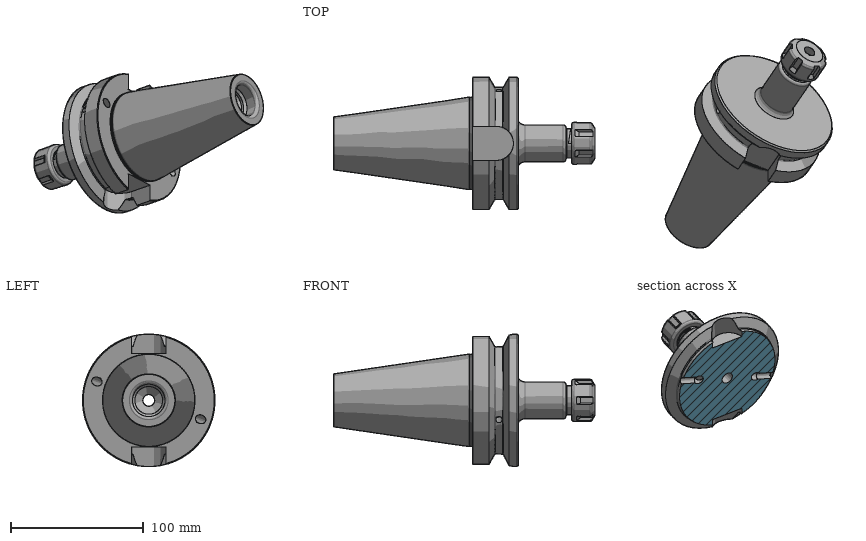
import cadquery as cq
import math


total_length = 197.4

taper_large_radius = 35.0
taper_length = 101.8
taper_ratio = 7 / 24
taper_small_radius = taper_large_radius - taper_length * taper_ratio / 2
taper_edge_chamfer = 0.4
collar_recess_depth = 0.2
collar_recess_start = 102.8
collar_recess_end = 103.8

flange_rear = 104.8
flange_front = 139.7
flange_radius = 50.04
flange_chamfer = 0.5
flange_front_chamfer = 1.2
groove_center = 125.0
groove_floor_width = 6.3
groove_floor_radius = 42.5
groove_wall_angle = 30.0
groove_fillet = 1.0
groove_floor_rear = groove_center - groove_floor_width / 2
groove_floor_front = groove_center + groove_floor_width / 2
groove_flare = (flange_radius - groove_floor_radius) * math.tan(math.radians(groove_wall_angle))

slot_width = 25.7
slot_tip = 135.8
slot_floor_height = 35.3

shank_radius = 14.0
shank_front = 175.5
shank_edge_fillet = 2.2
shank_root_length = 4.7
shank_root_radius = 16.5
neck_radius = 11.0
neck_fillet = 0.8
nose_front = 191.5

runout_depth = 1.2
runout_start = 177.2
runout_lead = 1.8

mouth_radius = 14.6
counterbore_radius = 12.2
counterbore_depth = 10.0
inner_bore_radius = 10.5
inner_bore_depth = 13.8
bore_cone_angle = 59.0
through_radius = 4.3
bore_cone_length = (inner_bore_radius - through_radius) / math.tan(math.radians(bore_cone_angle))
mouth_flare = mouth_radius - counterbore_radius
bore_step = counterbore_radius - inner_bore_radius

port_turn = 20.0
port_circle_radius = 41.6
port_slant = 36.0
port_radius = 3.25
cross_hole_radius = 2.47
port_run = groove_center - flange_rear
cross_hole_bottom = port_circle_radius - port_run * math.tan(math.radians(port_slant))
port_overrun = 6.0
port_length = port_run / math.cos(math.radians(port_slant)) + port_overrun

nut_rear = 179.6
nut_radius = 16.0
nut_rear_fillet = 2.0
nut_front_fillet = 2.07
nut_cone_start = 195.2
nut_cone_angle = 60.0
nut_slot_count = 6
nut_slot_floor = 13.72
nut_slot_floor_width = 4.1
nut_slot_top_width = 6.3
nut_slot_rear = 183.4
nut_slot_ramp_end = 186.3
long_slot_extra = 1.2
long_slot_turns = (240, 300)

clearance = 2.0


def turned(outline):
    """Revolve a closed X-Z outline about the X axis."""
    return outline.close().revolve(360, (0, 0, 0), (1, 0, 0))


def make_holder_blank():
    recess_radius = taper_large_radius - collar_recess_depth
    fillet_mid = shank_edge_fillet * math.sqrt(0.5)
    wall_turn = math.radians(90 - groove_wall_angle)
    fillet_reach = groove_fillet * math.tan(wall_turn / 2)
    fillet_wall_run = fillet_reach * math.cos(wall_turn)
    fillet_wall_rise = fillet_reach * math.sin(wall_turn)
    root_rise = shank_root_radius - shank_radius
    root_arc_radius = (shank_root_length**2 + root_rise**2) / (2 * root_rise)
    outline = (
        cq.Workplane("XZ")
        .moveTo(0, 0)
        .lineTo(0, taper_small_radius - taper_edge_chamfer)
        .lineTo(taper_edge_chamfer, taper_small_radius)
        .lineTo(taper_length, taper_large_radius)
        .lineTo(collar_recess_start, taper_large_radius)
        .lineTo(collar_recess_start, recess_radius)
        .lineTo(collar_recess_end, recess_radius)
        .lineTo(collar_recess_end, taper_large_radius)
        .lineTo(flange_rear, taper_large_radius)
        .lineTo(flange_rear, flange_radius - flange_chamfer)
        .lineTo(flange_rear + flange_chamfer, flange_radius)
        .lineTo(groove_floor_rear - groove_flare, flange_radius)
        .lineTo(groove_floor_rear - fillet_wall_run, groove_floor_radius + fillet_wall_rise)
        .radiusArc((groove_floor_rear + fillet_reach, groove_floor_radius), -groove_fillet)
        .lineTo(groove_floor_front - fillet_reach, groove_floor_radius)
        .radiusArc(
            (groove_floor_front + fillet_wall_run, groove_floor_radius + fillet_wall_rise),
            -groove_fillet,
        )
        .lineTo(groove_floor_front + groove_flare, flange_radius)
        .lineTo(flange_front - flange_front_chamfer, flange_radius)
        .lineTo(flange_front, flange_radius - flange_front_chamfer)
        .lineTo(flange_front, shank_root_radius)
        .radiusArc((flange_front + shank_root_length, shank_radius), -root_arc_radius)
        .lineTo(shank_front - shank_edge_fillet, shank_radius)
        .threePointArc(
            (
                shank_front - shank_edge_fillet + fillet_mid,
                shank_radius - shank_edge_fillet + fillet_mid,
            ),
            (shank_front, shank_radius - shank_edge_fillet),
        )
        .lineTo(shank_front + neck_fillet, neck_radius)
        .lineTo(nose_front, neck_radius)
        .lineTo(nose_front, 0)
    )
    return turned(outline)


def make_bore():
    tip_end = inner_bore_depth + bore_cone_length
    outline = (
        cq.Workplane("XZ")
        .moveTo(0, 0)
        .lineTo(0, mouth_radius)
        .radiusArc((mouth_flare, counterbore_radius), -mouth_flare)
        .lineTo(counterbore_depth, counterbore_radius)
        .lineTo(counterbore_depth + bore_step, inner_bore_radius)
        .lineTo(inner_bore_depth, inner_bore_radius)
        .lineTo(tip_end, through_radius)
        .lineTo(nose_front, through_radius)
        .lineTo(nose_front, 0)
    )
    return turned(outline)


def make_driving_slot():
    """Round-ended slot cutter for the +Z side."""
    slot_center = slot_tip - slot_width / 2
    return (
        cq.Workplane("XY", origin=(0, 0, slot_floor_height))
        .moveTo(flange_rear, -slot_width / 2)
        .lineTo(slot_center, -slot_width / 2)
        .threePointArc((slot_tip, 0), (slot_center, slot_width / 2))
        .lineTo(flange_rear, slot_width / 2)
        .close()
        .extrude(flange_radius - slot_floor_height + clearance)
    )


def make_coolant_port():
    """Slanted port and its radial cross hole, cut on the +Y side before turning into place."""
    slant = math.radians(port_slant)
    inward = cq.Vector(math.cos(slant), -math.sin(slant), 0)
    mouth = cq.Vector(flange_rear, port_circle_radius, 0)
    lead_in = 2 * port_radius
    port = cq.Solid.makeCylinder(port_radius, port_length + lead_in, mouth - inward * lead_in, inward)
    cross_hole = cq.Solid.makeCylinder(
        cross_hole_radius,
        groove_floor_radius + clearance - cross_hole_bottom,
        cq.Vector(groove_center, cross_hole_bottom, 0),
        cq.Vector(0, 1, 0),
    )
    return cq.Workplane(port).union(cq.Workplane(cross_hole))


def make_thread_runout():
    """Quarter-turn relief, between +Z and +Y, that leads toward the nut."""
    ring = (
        cq.Workplane("YZ", origin=(runout_start, 0, 0))
        .circle(neck_radius + clearance)
        .circle(neck_radius - runout_depth)
        .extrude(nut_rear - runout_start)
    )
    quarter = (
        cq.Workplane("XY")
        .moveTo(runout_start, 0)
        .lineTo(runout_start + runout_lead, neck_radius)
        .lineTo(nut_rear, neck_radius + clearance)
        .lineTo(nut_rear, 0)
        .close()
        .extrude(neck_radius + clearance)
    )
    return ring.intersect(quarter)


def make_holder():
    holder = make_holder_blank().cut(make_bore())
    slot = make_driving_slot()
    port = make_coolant_port()
    for side_turn in (0, 180):
        holder = holder.cut(slot.rotate((0, 0, 0), (1, 0, 0), side_turn))
        holder = holder.cut(port.rotate((0, 0, 0), (1, 0, 0), port_turn + side_turn))
    return holder.cut(make_thread_runout())


def make_nut_blank():
    cone_turn = math.radians(nut_cone_angle)
    cone_start_radius = nut_radius - nut_front_fillet * (1 - math.cos(cone_turn))
    front_fillet_start = nut_cone_start - nut_front_fillet * math.sin(cone_turn)
    front_radius = cone_start_radius - (total_length - nut_cone_start) * math.tan(cone_turn)
    outline = (
        cq.Workplane("XZ")
        .moveTo(nut_rear, neck_radius)
        .lineTo(nut_rear, nut_radius - nut_rear_fillet)
        .radiusArc((nut_rear + nut_rear_fillet, nut_radius), nut_rear_fillet)
        .lineTo(front_fillet_start, nut_radius)
        .radiusArc((nut_cone_start, cone_start_radius), nut_front_fillet)
        .lineTo(total_length, front_radius)
        .lineTo(total_length, through_radius)
        .lineTo(nose_front, through_radius)
        .lineTo(nose_front, neck_radius)
    )
    return turned(outline)


def make_nut_slot():
    """Wrench slot cutter for the -Y side: slanted side walls and a ramp at its rear end."""
    top = nut_radius + clearance
    wall_slope = (nut_slot_top_width - nut_slot_floor_width) / 2 / (nut_radius - nut_slot_floor)
    top_half = nut_slot_top_width / 2 + clearance * wall_slope
    floor_half = nut_slot_floor_width / 2
    ramp_run = (nut_slot_ramp_end - nut_slot_rear) / (nut_radius - nut_slot_floor)
    section = (
        cq.Workplane("YZ", origin=(nut_rear, 0, 0))
        .moveTo(-nut_slot_floor, -floor_half)
        .lineTo(-nut_slot_floor, floor_half)
        .lineTo(-top, top_half)
        .lineTo(-top, -top_half)
        .close()
        .extrude(total_length - nut_rear)
    )
    side = (
        cq.Workplane("XY")
        .moveTo(nut_slot_ramp_end, -nut_slot_floor)
        .lineTo(total_length, -nut_slot_floor)
        .lineTo(total_length, -top)
        .lineTo(nut_slot_rear - ramp_run * clearance, -top)
        .close()
        .extrude(top_half, both=True)
    )
    return section.intersect(side)


def make_nut():
    nut = make_nut_blank()
    slot = make_nut_slot()
    for index in range(nut_slot_count):
        turn = index * 360 // nut_slot_count
        placed_slot = slot.rotate((0, 0, 0), (1, 0, 0), turn)
        if turn in long_slot_turns:
            placed_slot = placed_slot.union(placed_slot.translate((-long_slot_extra, 0, 0)))
        nut = nut.cut(placed_slot)
    return nut


holder = make_holder()
nut = make_nut()
result = cq.Compound.makeCompound([holder.val(), nut.val()])